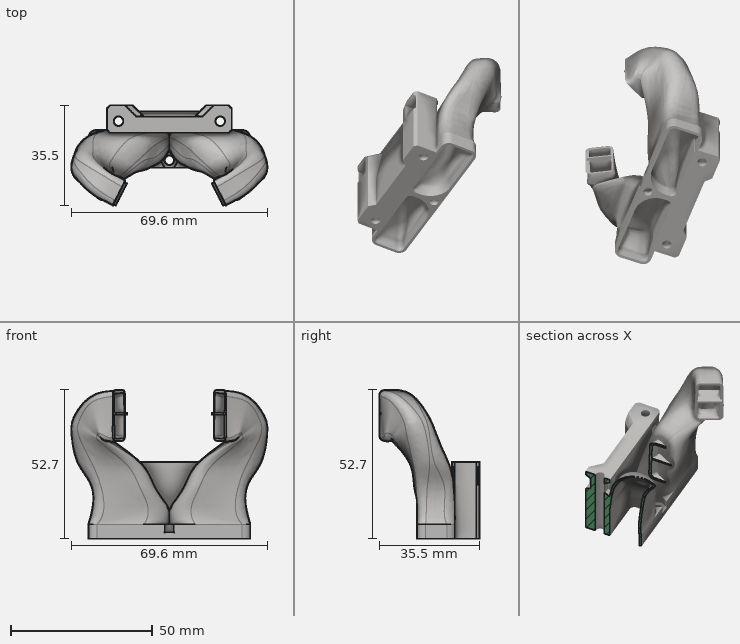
import cadquery as cq
import math


base_width = 57.4
base_depth = 13.5
base_height = 5.25
base_corner = 3.0

screw_hole = 3.3
nut_flats = 5.5
nut_depth = 3.0
base_screw_y = 2.72

block_width = 44.2
block_front = 12.4
block_depth = 9.8
block_height = 27.27
block_chamfer = 1.1
block_screw_x = 18.0
block_screw_y = 16.55

notch_half_width = 13.0
notch_foot_depth = 2.1
notch_top_depth = 4.0
notch_slope_height = 14.0
bevel_width = 2.7
bevel_height = 2.3

pocket_width = 7.2
pocket_height = 6.8
pocket_depth = 2.0
pocket_taper = 30.0
pocket_x = 18.5
pocket_z = 22.3

wall = 1.0
duct_root = base_width / 2
nozzle_turn = 27.0
nozzle_height = 18.0
nozzle_width = 9.8
rim_radius = 0.5
mouth_length = 1.0
nozzle_top = 52.7
nozzle_x = -17.0
nozzle_y = -9.4
vane_thickness = 0.7
vane_length = 6.0
vane_z = 44.3

block_back = block_front + block_depth
base_mid = base_depth / 2
nozzle_bottom = nozzle_top - nozzle_height
nozzle_angle = math.radians(nozzle_turn)
nozzle_direction = cq.Vector(math.cos(nozzle_angle), -math.sin(nozzle_angle), 0)
mouth_start = cq.Vector(nozzle_x, nozzle_y, 0) - nozzle_direction * mouth_length

duct_sections = [
    ((0, base_mid, base_height), (-duct_root, base_mid, base_height), base_depth, 0, 9.0, 3.0),
    ((-2.7, 6.5, 14.5), (-26.9, 6.6, 14.5), 13.4, 0, 6.0, 3.5),
    ((-6.7, 5.0, 21.5), (-29.6, 6.2, 22.5), 13.2, -4, 5.0, 4.5),
    ((-11.6, 1.9, 28.2), (-33.3, 4.9, 29.5), 12.2, -10, 5.0, 5.5),
    ((-18.6, -4.1, 33.0), (-33.9, 3.7, 37.5), 11.4, -18, 4.0, 5.0),
    ((-20.8, -5.4, 34.2), (-32.8, 1.9, 43.0), 10.5, -23, 3.5, 4.2),
    ((-21.8, -6.4, 34.6), (-28.8, -1.8, 48.4), 10.0, -26, 3.0, 3.0),
    ((-20.9, -7.2, 34.7), (-22.0, -6.7, 52.1), nozzle_width, -nozzle_turn, 2.0, 2.2),
    (
        (mouth_start.x, mouth_start.y, nozzle_bottom),
        (mouth_start.x, mouth_start.y, nozzle_top),
        nozzle_width,
        -nozzle_turn,
        2.0,
        2.0,
    ),
]


def rounded_section(section, inset):
    """Closed wire of one duct section, moved inwards by `inset`."""
    inner, outer, depth, turn, inner_front_radius, corner_radius = section
    inner = cq.Vector(*inner)
    outer = cq.Vector(*outer)
    across = inner - outer
    turn_angle = math.radians(turn)
    back = cq.Vector(-math.sin(turn_angle), math.cos(turn_angle), 0)
    plane = cq.Plane(
        origin=(inner + outer) * 0.5,
        xDir=across,
        normal=across.cross(back),
    )
    a = across.Length / 2 - inset
    b = depth / 2 - inset
    r = corner_radius - inset
    f = inner_front_radius - inset
    k = 1 - math.sqrt(0.5)
    outline = (
        cq.Workplane(plane)
        .moveTo(-a + r, -b)
        .lineTo(a - f, -b)
        .threePointArc((a - k * f, -b + k * f), (a, -b + f))
        .lineTo(a, b - r)
        .threePointArc((a - k * r, b - k * r), (a - r, b))
        .lineTo(-a + r, b)
        .threePointArc((-a + k * r, b - k * r), (-a, b - r))
        .lineTo(-a, -b + r)
        .threePointArc((-a + k * r, -b + k * r), (-a + r, -b))
        .close()
    )
    return outline.wires().val()


def duct_body(inset, overrun=0):
    """Smooth body through all sections; `overrun` carries its end on past the last section."""
    wires = [rounded_section(section, inset) for section in duct_sections]
    wires[-1] = wires[-1].translate(nozzle_direction * overrun)
    return cq.Workplane(obj=cq.occ_impl.shapes.loft(*wires, cap=True, degree=3))


def base_cavity():
    """Straight air inlet from the underside up to the start of the duct."""
    root = rounded_section(duct_sections[0], wall)
    inlet = cq.Solid.extrudeLinear(root, [], cq.Vector(0, 0, -base_height))
    return cq.Workplane(obj=inlet)


def nozzle_mouth():
    """Straight end of the nozzle, still solid, with a rounded outer rim."""
    outline = rounded_section(duct_sections[-1], 0)
    run = nozzle_direction * mouth_length
    mouth = cq.Workplane(obj=cq.Solid.extrudeLinear(outline, [], run))
    rim = mouth.faces(cq.selectors.DirectionMinMaxSelector(nozzle_direction)).edges()
    return rim.fillet(rim_radius)


def vane():
    """Thin plate across the nozzle mouth, parallel to its roof."""
    return (
        cq.Workplane("XY")
        .box(vane_length, nozzle_width - wall, vane_thickness, centered=(False, True, True))
        .translate((-vane_length, 0, 0))
        .rotate((0, 0, 0), (0, 0, 1), -nozzle_turn)
        .translate((nozzle_x, nozzle_y, vane_z))
    )


def left_duct():
    """Hollow left duct with its mouth and vane."""
    cavity = duct_body(wall, overrun=2 * mouth_length)
    duct = duct_body(0).union(nozzle_mouth(), clean=False)
    return duct.cut(cavity).union(vane(), clean=False)


def base_plate():
    plate = (
        cq.Workplane("XY")
        .box(base_width, base_depth, base_height, centered=(True, False, False))
        .edges("|Z")
        .fillet(base_corner)
    )
    inlet = base_cavity()
    return plate.cut(inlet).cut(inlet.mirror("YZ"))


def base_screw():
    nut_corners = nut_flats / math.cos(math.radians(30))
    hole = cq.Workplane("XY").center(0, base_screw_y).circle(screw_hole / 2).extrude(base_height)
    nut = (
        cq.Workplane("XY", origin=(0, base_screw_y, base_height - nut_depth))
        .polygon(6, nut_corners)
        .extrude(nut_depth)
    )
    return hole.union(nut)


def notch_outline(z, half_back):
    """Wire of the notch at height z: 45 degree sides down to the floor."""
    climb = max(0, z - block_height + notch_slope_height) / notch_slope_height
    depth = notch_foot_depth + (notch_top_depth - notch_foot_depth) * climb
    half_floor = half_back - depth
    corners = [
        cq.Vector(-half_back, block_back, z),
        cq.Vector(-half_floor, block_back - depth, z),
        cq.Vector(half_floor, block_back - depth, z),
        cq.Vector(half_back, block_back, z),
    ]
    return cq.Wire.makePolygon(corners, close=True)


def notch_stage(bottom, top, bottom_half_back, top_half_back):
    wires = [notch_outline(bottom, bottom_half_back), notch_outline(top, top_half_back)]
    return cq.Workplane(obj=cq.Solid.makeLoft(wires, True))


def notch():
    slope_foot = block_height - notch_slope_height
    bevel_foot = block_height - bevel_height
    bevel_half_back = notch_half_width + bevel_width
    straight = notch_stage(0, slope_foot, notch_half_width, notch_half_width)
    sloped = notch_stage(slope_foot, block_height, notch_half_width, notch_half_width)
    bevel = notch_stage(bevel_foot, block_height, notch_half_width, bevel_half_back)
    return straight.union(sloped).union(bevel)


def nut_pocket():
    """Flared pocket in the front face of the block, narrowing inwards."""
    return (
        cq.Workplane("XZ", origin=(pocket_x, block_front, pocket_z))
        .rect(pocket_width, pocket_height)
        .extrude(-pocket_depth, taper=pocket_taper)
    )


def mounting_block():
    block = (
        cq.Workplane("XY", origin=(0, block_front, 0))
        .box(block_width, block_depth, block_height, centered=(True, False, False))
        .edges("|Z")
        .chamfer(block_chamfer)
        .cut(notch())
    )
    front_pocket = nut_pocket()
    middle_y = block_front + block_depth / 2
    back_pocket = front_pocket.mirror("XZ", (0, middle_y, 0))
    screw = (
        cq.Workplane("XY")
        .center(block_screw_x, block_screw_y)
        .circle(screw_hole / 2)
        .extrude(block_height)
    )
    for cutter in (front_pocket, back_pocket, screw):
        block = block.cut(cutter).cut(cutter.mirror("YZ"))
    return block


duct = left_duct()
result = base_plate()
for body in (duct, duct.mirror("YZ"), mounting_block()):
    result = result.union(body, clean=False)
result = result.cut(base_screw(), clean=False)